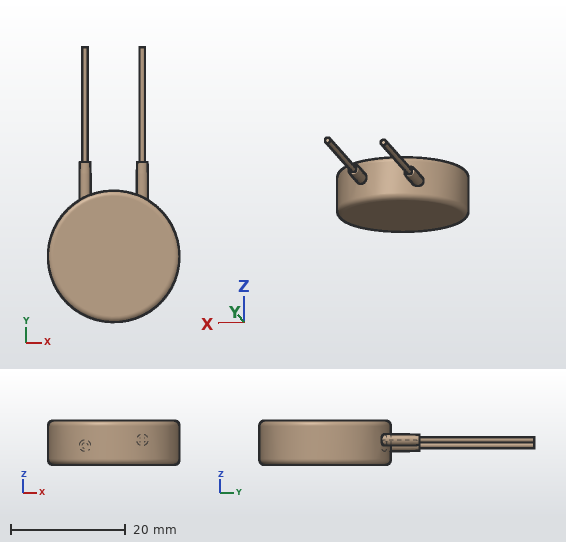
import cadquery as cq

body_diameter = 23.0
body_height = 7.8
rim_radius = 1.0

lead_diameter = 1.0
lead_length = 20.0
lead_spacing = 10.0
lead_height_step = 1.0

sleeve_diameter = 2.0
sleeve_tip_diameter = 1.85
sleeve_tip_radius = 0.1
sleeve_taper_length = 2.1
sleeve_protrusion = 5.0

body_radius = body_diameter / 2
sleeve_end_y = body_radius + sleeve_protrusion
taper_start_y = sleeve_end_y - sleeve_taper_length
sleeve_start_y = body_radius / 2


def make_body():
    """Disc with its top and bottom rims rounded."""
    disc = cq.Workplane("XY").cylinder(body_height, body_radius)
    return disc.faces("|Z").edges().fillet(rim_radius)


def make_lead(x, z):
    """Wire and its tapered, round-tipped sleeve along an axis parallel to Y."""
    sleeve = (
        cq.Workplane("XY")
        .moveTo(0, sleeve_start_y)
        .lineTo(sleeve_diameter / 2, sleeve_start_y)
        .lineTo(sleeve_diameter / 2, taper_start_y)
        .lineTo(sleeve_tip_diameter / 2, sleeve_end_y)
        .lineTo(0, sleeve_end_y)
        .close()
        .revolve(360, (0, 0), (0, 1))
        .faces(">Y")
        .edges()
        .fillet(sleeve_tip_radius)
    )
    wire = (
        sleeve.faces(">Y")
        .workplane(centerOption="CenterOfMass")
        .circle(lead_diameter / 2)
        .extrude(lead_length)
    )
    return wire.translate((x, 0, z))


result = make_body()
for side in (-1, 1):
    result = result.union(make_lead(side * lead_spacing / 2, side * lead_height_step / 2))